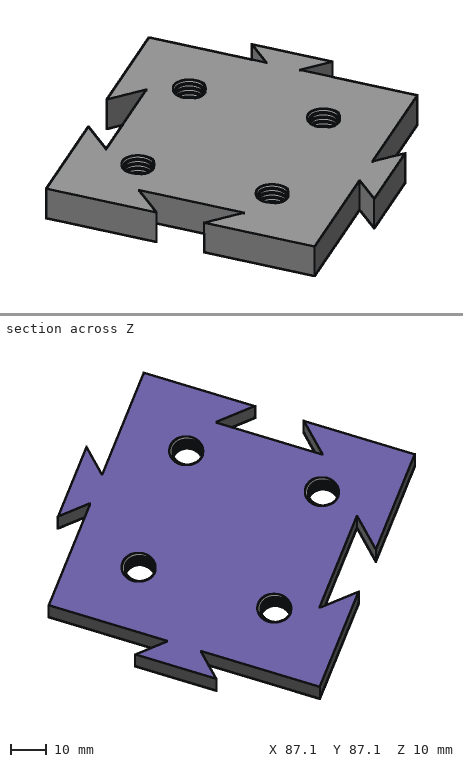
import cadquery as cq
import math

plate_side = 80.0
plate_thickness = 10.0
half_side = plate_side / 2

tongue_neck = 10.0
tongue_height = 7.07
socket_clearance = 1.5
socket_depth = tongue_height + socket_clearance
socket_mouth = 14.2

hole_spacing = 40.0
thread_pitch = 1.5
minor_diameter = 8.53
major_diameter = 10.2
root_flat = 0.14
flank_half_angle = math.radians(30)
groove_angle_at_top = 150.0
bore_overlap = 0.1
cutter_overrun = thread_pitch


def dovetail(neck_width, height):
    """Dovetail prism standing on the X axis and widening towards +Y."""
    half_neck = neck_width / 2
    half_tip = half_neck + height
    outline = [(-half_neck, 0), (half_neck, 0), (half_tip, height), (-half_tip, height)]
    return cq.Workplane("XY").polyline(outline).close().extrude(plate_thickness)


def tongue_at(angle):
    """Tongue on the +Y edge, turned about the plate centre."""
    tongue = dovetail(tongue_neck, tongue_height).translate((0, half_side, 0))
    return tongue.rotate((0, 0, 0), (0, 0, 1), angle)


def socket_at(angle):
    """Socket cutter in the -Y edge, turned about the plate centre."""
    socket = dovetail(socket_mouth, socket_depth).translate((0, -half_side, 0))
    return socket.rotate((0, 0, 0), (0, 0, 1), angle)


def thread_groove():
    """Helical V groove around the Z axis, running one pitch past both plate faces."""
    minor_radius = minor_diameter / 2
    major_radius = major_diameter / 2
    inner_radius = minor_radius - bore_overlap
    half_root = root_flat / 2
    half_opening = half_root + (major_radius - inner_radius) * math.tan(flank_half_angle)
    profile = [
        (inner_radius, -half_opening),
        (major_radius, -half_root),
        (major_radius, half_root),
        (inner_radius, half_opening),
    ]
    groove_length = plate_thickness + 2 * cutter_overrun
    helix = cq.Wire.makeHelix(thread_pitch, groove_length, minor_radius)
    groove = cq.Workplane("XZ").polyline(profile).close().sweep(cq.Workplane(helix), isFrenet=True)
    turn_at_top = 360 * plate_thickness / thread_pitch
    start_angle = groove_angle_at_top - turn_at_top
    return groove.translate((0, 0, -cutter_overrun)).rotate((0, 0, 0), (0, 0, 1), start_angle)


def thread_cutter():
    """Thread groove joined with the plain bore, centred on the Z axis."""
    bore_overrun = 2 * cutter_overrun
    bore = cq.Workplane("XY").workplane(offset=-bore_overrun).circle(minor_diameter / 2)
    return thread_groove().union(bore.extrude(plate_thickness + 2 * bore_overrun))


plate = cq.Workplane("XY").box(plate_side, plate_side, plate_thickness, centered=(True, True, False))

for quarter_turn in (0, -90):
    plate = plate.union(tongue_at(quarter_turn)).cut(socket_at(quarter_turn))

tap = thread_cutter()
for x in (-hole_spacing / 2, hole_spacing / 2):
    for y in (-hole_spacing / 2, hole_spacing / 2):
        plate = plate.cut(tap.translate((x, y, 0)))

result = plate